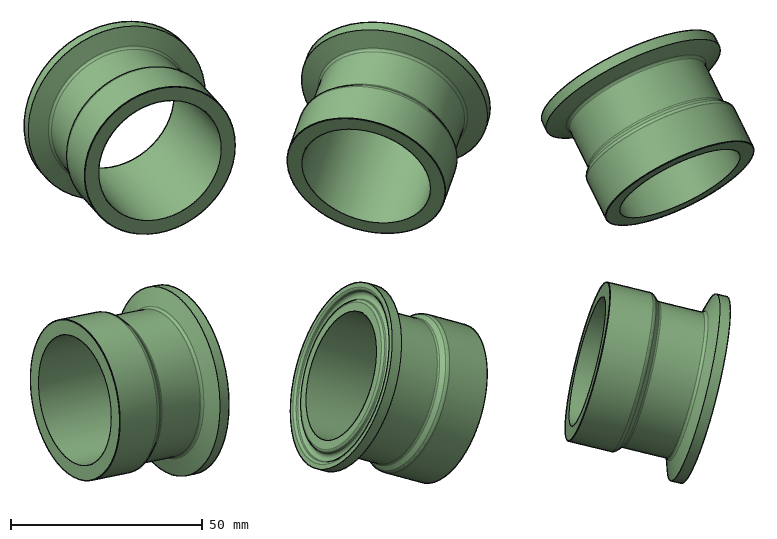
import cadquery as cq
import math

length = 31.75
bore_radius = 34.8 / 2
neck_radius = 39.37 / 2
hub_radius = 42.93 / 2
flange_radius = 50.39 / 2

rim_width = 2.87
taper_angle = math.radians(20)
neck_fillet = 0.85

hub_cone_start = 17.69
hub_cone_angle = math.radians(45)
hub_cone_neck_fillet = 0.8
hub_cone_outer_fillet = 1.4
hub_end_chamfer = 0.13

groove_mid_radius = 21.85
groove_half_width = 2.0
groove_depth = 1.6
groove_wall_angle = math.radians(23)
groove_lip_fillet = 0.84


def turn(profile):
    """Revolve a closed profile in the XY plane a full turn about the X axis."""
    return profile.revolve(360, (0, 0, 0), (1, 0, 0))


def ring_at(body, x, radius):
    """Circular edge of the body lying at the given X and radius."""
    tol = 0.01
    box = cq.selectors.BoxSelector(
        (x - tol, -radius - tol, -radius - tol),
        (x + tol, radius + tol, radius + tol),
        boundingbox=True,
    )
    return body.edges(box).edges(cq.selectors.RadiusNthSelector(-1))


def make_body():
    """Outer turned shape with its blended corners, bored through."""
    taper_end = rim_width + (flange_radius - neck_radius) * math.tan(taper_angle)
    hub_cone_end = hub_cone_start + (hub_radius - neck_radius) / math.tan(hub_cone_angle)
    profile = (
        cq.Workplane("XY")
        .moveTo(0, bore_radius)
        .lineTo(0, flange_radius)
        .lineTo(rim_width, flange_radius)
        .lineTo(taper_end, neck_radius)
        .lineTo(hub_cone_start, neck_radius)
        .lineTo(hub_cone_end, hub_radius)
        .lineTo(length, hub_radius)
        .lineTo(length, bore_radius)
        .close()
    )
    body = turn(profile)
    body = ring_at(body, taper_end, neck_radius).fillet(neck_fillet)
    body = ring_at(body, hub_cone_start, neck_radius).fillet(hub_cone_neck_fillet)
    body = ring_at(body, hub_cone_end, hub_radius).fillet(hub_cone_outer_fillet)
    return ring_at(body, length, hub_radius).chamfer(hub_end_chamfer)


def make_groove():
    """Ring cutter: rounded lips, steep straight walls and a round floor."""
    lip_width = groove_lip_fillet * math.cos(groove_wall_angle)
    lip_depth = groove_lip_fillet * (1 - math.sin(groove_wall_angle))
    lip_mid_turn = (math.pi / 2 - groove_wall_angle) / 2
    lip_mid_width = groove_lip_fillet * math.sin(lip_mid_turn)
    lip_mid_depth = groove_lip_fillet * (1 - math.cos(lip_mid_turn))

    wall_top = groove_half_width - lip_width
    wall_sin = math.sin(groove_wall_angle)
    wall_cos = math.cos(groove_wall_angle)
    wall_tan = math.tan(groove_wall_angle)
    floor_radius = (wall_top - (groove_depth - lip_depth) * wall_tan) / (
        wall_cos - (1 - wall_sin) * wall_tan
    )
    wall_bottom = floor_radius * wall_cos
    wall_bottom_depth = groove_depth - floor_radius * (1 - wall_sin)

    mid = groove_mid_radius
    profile = (
        cq.Workplane("XY")
        .moveTo(0, mid + groove_half_width)
        .threePointArc(
            (lip_mid_depth, mid + groove_half_width - lip_mid_width),
            (lip_depth, mid + wall_top),
        )
        .lineTo(wall_bottom_depth, mid + wall_bottom)
        .threePointArc((groove_depth, mid), (wall_bottom_depth, mid - wall_bottom))
        .lineTo(lip_depth, mid - wall_top)
        .threePointArc(
            (lip_mid_depth, mid - groove_half_width + lip_mid_width),
            (0, mid - groove_half_width),
        )
        .close()
    )
    return turn(profile)


result = make_body().cut(make_groove())